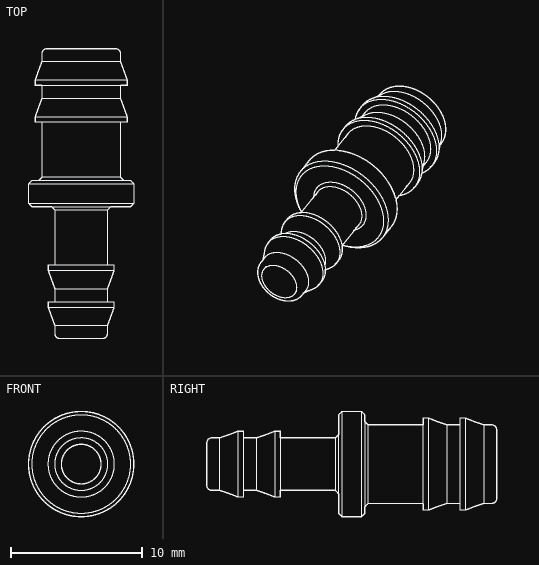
import cadquery as cq
import math

total_length = 22.0
flange_width = 2.0
flange_diameter = 8.0
flange_chamfer = 0.26
bore_diameter = 3.0

large_tube_radius = 3.0
small_tube_radius = 2.0
tip_fillet = 0.4
root_chamfer = 0.25

barb_count = 2
barb_height = 0.5
barb_angle = 20.0
barb_length = 1.8
barb_pitch = 2.8
first_barb_offset = 1.0

ramp_length = barb_height / math.tan(math.radians(barb_angle))
half_length = total_length / 2
half_flange = flange_width / 2


def make_barb(tube_radius, start):
    """Ring with a ramp and a land, its ramp starting at Y = start and rising toward the flange."""
    lip_radius = tube_radius + barb_height
    end = start - barb_length
    return (
        cq.Workplane("XY")
        .moveTo(0, start)
        .lineTo(tube_radius, start)
        .lineTo(lip_radius, start - ramp_length)
        .lineTo(lip_radius, end)
        .lineTo(0, end)
        .close()
        .revolve(360, (0, 0, 0), (0, 1, 0))
    )


def make_tail(tube_radius):
    """Barbed tube pointing along +Y, with a rounded tip and a conical root against the flange."""
    root_radius = tube_radius + root_chamfer
    tip_radius = tube_radius - tip_fillet
    tail = (
        cq.Workplane("XY")
        .moveTo(0, 0)
        .lineTo(root_radius, 0)
        .lineTo(root_radius, half_flange)
        .lineTo(tube_radius, half_flange + root_chamfer)
        .lineTo(tube_radius, half_length - tip_fillet)
        .radiusArc((tip_radius, half_length), -tip_fillet)
        .lineTo(0, half_length)
        .close()
        .revolve(360, (0, 0, 0), (0, 1, 0))
    )
    for index in range(barb_count):
        start = half_length - first_barb_offset - index * barb_pitch
        tail = tail.union(make_barb(tube_radius, start))
    return tail


flange = (
    cq.Workplane("XZ")
    .circle(flange_diameter / 2)
    .extrude(flange_width)
    .translate((0, half_flange, 0))
    .edges()
    .chamfer(flange_chamfer)
)

large_tail = make_tail(large_tube_radius)
small_tail = make_tail(small_tube_radius).rotate((0, 0, 0), (0, 0, 1), 180)

bore = cq.Workplane("XZ").circle(bore_diameter / 2).extrude(total_length).translate((0, half_length, 0))

result = flange.union(large_tail).union(small_tail).cut(bore)